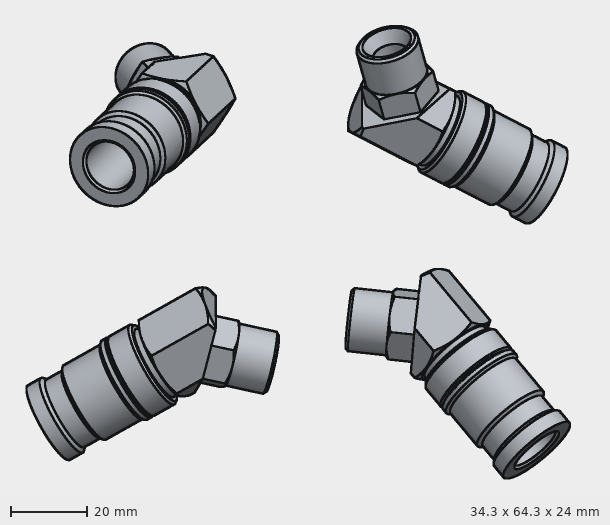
import cadquery as cq
import math


overall_length = 64.3

end_radius = 11.25
neck_radius = 10.2
collar_diameter = 24.0
collar_radius = collar_diameter / 2
groove_radius = 11.3
collar_back_radius = 11.4
end_rim_back = 4.05
neck_front = 5.1
neck_back = 10.15
barrel_front = 11.05
barrel_back = 22.5
collar_front = 23.3
groove_front = 24.7
groove_floor_back = 25.1
groove_back = 25.6
collar_chamfer_start = 31.8
collar_back = 32.6

body_flats = 22.0
body_hex_front = 34.5
body_hex_length = 19.5

branch_angle = 45
axes_meet_y = 42.7
cut_face_distance = 5.1
nut_flats = 17.0
nut_face_distance = 12.1
spigot_radius = 8.35
spigot_chamfer = 0.8
spigot_tip_radius = spigot_radius - spigot_chamfer
spigot_end_distance = (overall_length - axes_meet_y) / math.cos(math.radians(branch_angle)) - spigot_tip_radius

socket_radius = 6.8
socket_chamfer = 0.7
socket_depth = body_hex_front
passage_radius = 4.75
branch_bore_radius = 4.5
passage_depth = axes_meet_y + branch_bore_radius / math.sin(math.radians(branch_angle))
cone_mouth_radius = 6.55
cone_depth = 3.65

hex_chamfer_angle = 30
cut_block_size = 64.3


def turned(points):
    """Revolve a closed (radius, axial position) outline about the Y axis."""
    return cq.Workplane("XY").polyline(points).close().revolve(360, (0, 0, 0), (0, 1, 0))


def hexagon(flats, start, length, chamfer_start):
    """Hexagonal bar along Y with corners on X and its end corners turned off conically."""
    corner = flats / math.sqrt(3)
    inscribed = flats / 2
    drop = (corner - inscribed) * math.tan(math.radians(hex_chamfer_angle))
    end = start + length
    bar = cq.Workplane("XZ", origin=(0, start, 0)).polygon(6, 2 * corner).extrude(-length)
    envelope = [(0, start)]
    if chamfer_start:
        envelope += [(inscribed, start), (corner, start + drop)]
    else:
        envelope += [(corner, start)]
    envelope += [(corner, end - drop), (inscribed, end), (0, end)]
    return bar.intersect(turned(envelope))


def place_on_branch(shape):
    """Turn a shape built along Y from the origin onto the branch axis."""
    turned_shape = shape.rotate((0, 0, 0), (0, 0, 1), branch_angle)
    return turned_shape.translate((0, axes_meet_y, 0))


def main_body():
    return turned([
        (0, 0),
        (end_radius, 0),
        (end_radius, end_rim_back),
        (neck_radius, neck_front),
        (neck_radius, neck_back),
        (end_radius, barrel_front),
        (end_radius, barrel_back),
        (collar_radius, collar_front),
        (collar_radius, groove_front),
        (groove_radius, groove_front),
        (groove_radius, groove_floor_back),
        (collar_radius, groove_back),
        (collar_radius, collar_chamfer_start),
        (collar_back_radius, collar_back),
        (neck_radius, collar_back),
        (neck_radius, body_hex_front),
        (0, body_hex_front),
    ])


def body_hexagon():
    """Body hexagon cut off square to the branch axis."""
    block = cq.Workplane("XY").box(cut_block_size, cut_block_size, cut_block_size)
    block = block.translate((0, cut_face_distance + cut_block_size / 2, 0))
    bar = hexagon(body_flats, body_hex_front, body_hex_length, True)
    return bar.cut(place_on_branch(block))


def branch():
    nut_length = nut_face_distance - cut_face_distance
    nut = hexagon(nut_flats, cut_face_distance, nut_length, False)
    spigot = turned([
        (0, cut_face_distance),
        (spigot_radius, cut_face_distance),
        (spigot_radius, spigot_end_distance - spigot_chamfer),
        (spigot_tip_radius, spigot_end_distance),
        (0, spigot_end_distance),
    ])
    return place_on_branch(nut.union(spigot))


def main_bore():
    return turned([
        (0, 0),
        (socket_radius + socket_chamfer, 0),
        (socket_radius, socket_chamfer),
        (socket_radius, socket_depth),
        (passage_radius, socket_depth),
        (passage_radius, passage_depth),
        (0, passage_depth),
    ])


def branch_bore():
    return place_on_branch(turned([
        (0, 0),
        (branch_bore_radius, 0),
        (branch_bore_radius, spigot_end_distance - cone_depth),
        (cone_mouth_radius, spigot_end_distance),
        (0, spigot_end_distance),
    ]))


outside = main_body().union(body_hexagon()).union(branch())
result = outside.cut(main_bore()).cut(branch_bore())